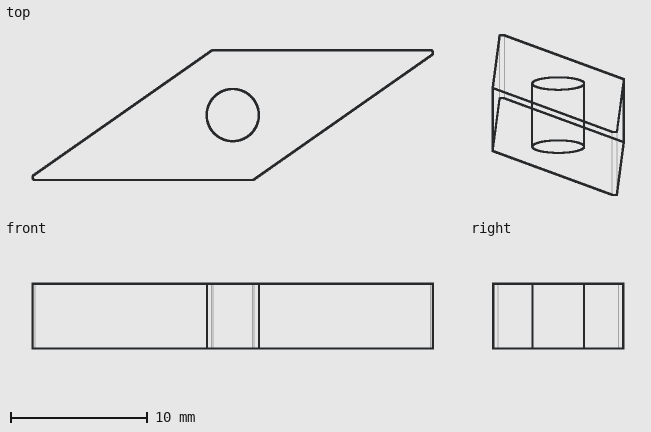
import cadquery as cq
import math

inscribed_diameter = 9.525
thickness = 4.76
hole_diameter = 3.81
nose_angle = math.radians(35)
corner_radius = 0.2

side_length = inscribed_diameter / math.sin(nose_angle)
lean = side_length * math.cos(nose_angle)
half_height = inscribed_diameter / 2
tip_x = (side_length + lean) / 2
blunt_x = (side_length - lean) / 2


def insert_blank():
    """Rhombic prism centred on the origin, with all four upright corners rounded."""
    corners = [
        (-tip_x, -half_height),
        (blunt_x, -half_height),
        (tip_x, half_height),
        (-blunt_x, half_height),
    ]
    blank = cq.Workplane("XY").polyline(corners).close().extrude(thickness)
    return blank.edges("|Z").fillet(corner_radius)


def clamping_hole():
    """Cylinder for the central hole through the full thickness."""
    return cq.Workplane("XY").circle(hole_diameter / 2).extrude(thickness)


result = insert_blank().cut(clamping_hole())